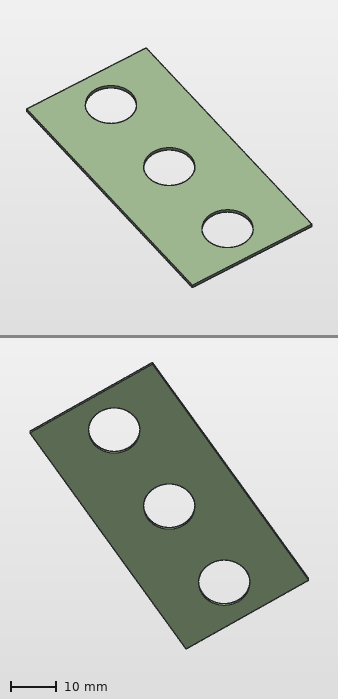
import cadquery as cq

length = 63.5
width = length / 2
thickness = 0.8

hole_diameter = 11.2
hole_pitch = 2 * hole_diameter
hole_count = 3

plate = cq.Workplane("XY").box(length, width, thickness)

result = (
    plate.faces(">Z")
    .workplane()
    .rarray(hole_pitch, width, hole_count, 1)
    .hole(hole_diameter)
)